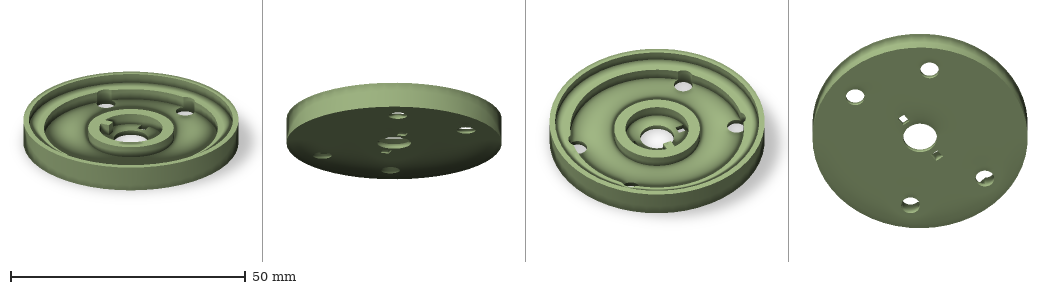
import cadquery as cq

disc_diameter = 45.9
disc_height = 5.4
rim_inner_diameter = 43.5
rim_depth = 2.0
pocket_diameter = 37.1
floor_thickness = 1.0
ledge_height = disc_height - rim_depth

hub_outer_diameter = 18.25
hub_inner_diameter = 13.5
bore_diameter = 7.2

key_width = 1.85
key_length = 1.97
hub_inner_radius = hub_inner_diameter / 2
key_center_radius = hub_inner_radius - key_length / 2

mount_hole_diameter = 4.0
mount_circle_radius = 17.25
mount_hole_angles = (75, 135, 255, 315)


def cylinder(diameter, bottom, top):
    return cq.Workplane("XY").workplane(offset=bottom).circle(diameter / 2).extrude(top - bottom)


def make_dish():
    dish = cylinder(disc_diameter, 0, disc_height)
    dish = dish.cut(cylinder(rim_inner_diameter, ledge_height, disc_height))
    return dish.cut(cylinder(pocket_diameter, floor_thickness, ledge_height))


def make_hub():
    hub = cylinder(hub_outer_diameter, 0, ledge_height)
    return hub.cut(cylinder(hub_inner_diameter, floor_thickness, ledge_height))


def make_key():
    wall_overlap = (hub_outer_diameter - hub_inner_diameter) / 4
    return (
        cq.Workplane("XY")
        .center(-key_center_radius - wall_overlap / 2, 0)
        .rect(key_length + wall_overlap, key_width)
        .extrude(ledge_height)
    )


def make_slots():
    slots = (
        cq.Workplane("XY")
        .pushPoints([(0, key_center_radius), (0, -key_center_radius)])
        .rect(key_width, key_length)
        .extrude(floor_thickness)
    )
    return slots.intersect(cylinder(hub_inner_diameter, 0, floor_thickness))


def make_mount_holes():
    holes = cq.Workplane("XY")
    for angle in mount_hole_angles:
        hole = cylinder(mount_hole_diameter, 0, disc_height)
        hole = hole.translate((mount_circle_radius, 0, 0)).rotate((0, 0, 0), (0, 0, 1), angle)
        holes = holes.add(hole)
    return holes.combine()


result = make_dish().union(make_hub()).union(make_key())
result = result.cut(cylinder(bore_diameter, 0, disc_height))
result = result.cut(make_slots()).cut(make_mount_holes())